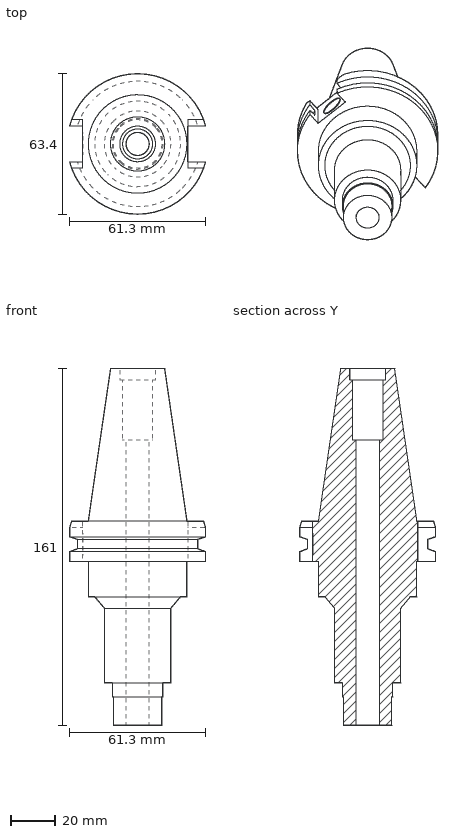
import cadquery as cq

total_height = 161
gauge_height = 92.8
flange_top = 92.1
groove_outer_top = 85.0
groove_inner_top = 83.9
groove_inner_bottom = 79.7
groove_outer_bottom = 78.5
flange_bottom = 74.0
collar_bottom = 58.0
neck_top = 52.8
neck_bottom = 19.2
nose_step_height = 12.9

taper_top_radius = 12.2
gauge_radius = 22.2
flange_radius = 31.7
groove_radius = 28.3
cone_top_radius = 19.3
neck_radius = 15.0
nose_step_radius = 11.5
nose_radius = 11.0

through_radius = 5.2
thread_radius = 6.8
thread_depth = 32.2
counterbore_radius = 8.0
counterbore_depth = 5.2

slot_width = 16.1
shallow_floor = 25.0
deep_floor = 22.7
slot_chamfer = 2.9

recess_radius = 4.8
recess_depth = 0.3
recess_height = 81.8


def turned_body():
    """Revolve the half profile of the holder about Z."""
    profile = [
        (0, 0),
        (nose_radius, 0),
        (nose_radius, nose_step_height),
        (nose_step_radius, nose_step_height),
        (nose_step_radius, neck_bottom),
        (neck_radius, neck_bottom),
        (neck_radius, neck_top),
        (cone_top_radius, collar_bottom),
        (gauge_radius, collar_bottom),
        (gauge_radius, flange_bottom),
        (flange_radius, flange_bottom),
        (flange_radius, groove_outer_bottom),
        (groove_radius, groove_inner_bottom),
        (groove_radius, groove_inner_top),
        (flange_radius, groove_outer_top),
        (flange_radius, flange_top),
        (gauge_radius, flange_top),
        (gauge_radius, gauge_height),
        (taper_top_radius, total_height),
        (0, total_height),
    ]
    return cq.Workplane("XZ").polyline(profile).close().revolve(360, (0, 0), (0, 1))


def bore_from_top(radius, depth):
    return cq.Workplane("XY").workplane(offset=total_height).circle(radius).extrude(-depth)


def drive_slot(floor_distance):
    """Cutter for a slot on the +X side, widened by chamfers at the flange top."""
    half_width = slot_width / 2
    chamfer_half_width = half_width + slot_chamfer
    outline = [
        (-half_width, flange_bottom),
        (half_width, flange_bottom),
        (half_width, flange_top - slot_chamfer),
        (chamfer_half_width, flange_top),
        (-chamfer_half_width, flange_top),
        (-half_width, flange_top - slot_chamfer),
    ]
    floor = cq.Workplane("YZ").workplane(offset=floor_distance)
    return floor.polyline(outline).close().extrude(flange_radius - floor_distance)


def slot_recess():
    """Cutter for the round recess in the floor of the -X slot."""
    floor = cq.Workplane("YZ").workplane(offset=-shallow_floor)
    return floor.center(0, recess_height).circle(recess_radius).extrude(recess_depth)


result = turned_body()
result = result.cut(bore_from_top(through_radius, total_height))
result = result.cut(bore_from_top(thread_radius, thread_depth))
result = result.cut(bore_from_top(counterbore_radius, counterbore_depth))

for floor_distance, side_angle in ((shallow_floor, 180), (deep_floor, 0)):
    cutter = drive_slot(floor_distance)
    result = result.cut(cutter.rotate((0, 0, 0), (0, 0, 1), side_angle))

result = result.cut(slot_recess())